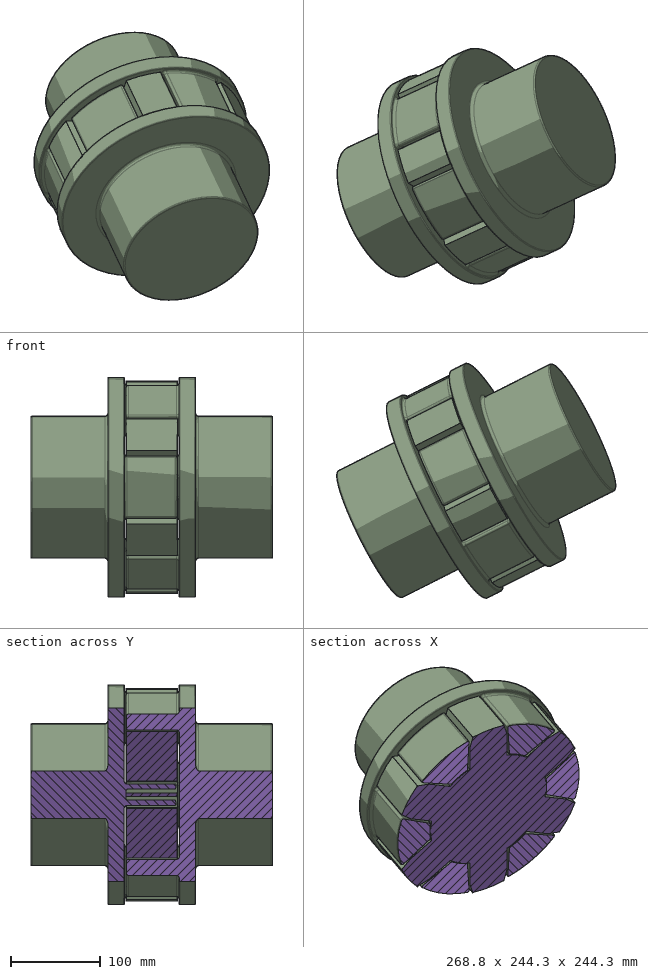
import cadquery as cq
import math


total_length = 268.75
flange_radius = 122.15
neck_radius = 79.0
flange_outer_x = 48.7
flange_inner_x = 30.5

end_edge_radius = 1.5
neck_fillet = 3.5
flange_edge_radius = 1.0

jaw_count = 6
jaw_pitch = 360 / jaw_count
jaws_per_hub = jaw_count // 2
jaw_outer_radius = 116.6
jaw_inner_radius = 74.5
jaw_reach_x = 28.5
jaw_rounding = 2.5
jaw_root_fillet = 3.0
slot_outer_half_width = 24.3
slot_inner_half_width = 26.5

spider_half_length = jaw_reach_x
leg_radius = 118.5
leg_tip_half_width = 20.1
leg_taper_angle = 15
fit_clearance = 0.2
core_radius = jaw_inner_radius - fit_clearance
leg_half_width = slot_outer_half_width - fit_clearance

zone_margin = 0.5


def disc(radius, start_x, end_x):
    """Solid cylinder about X between two X positions."""
    return cq.Workplane("YZ", origin=(start_x, 0, 0)).circle(radius).extrude(end_x - start_x)


def ring_zone(x, radius):
    """Selector for edges lying wholly near a plane across X and within a radius of the axis."""
    return cq.selectors.BoxSelector(
        (x - zone_margin, -radius - zone_margin, -radius - zone_margin),
        (x + zone_margin, radius + zone_margin, radius + zone_margin),
        boundingbox=True,
    )


def make_hub_body():
    """Left hub without jaws: a solid neck with a rounded end, filleted into the flange."""
    neck = disc(neck_radius, -total_length / 2, -flange_outer_x)
    neck = neck.faces("<X").edges().fillet(end_edge_radius)
    flange = disc(flange_radius, -flange_outer_x, -flange_inner_x)
    flange = flange.edges().fillet(flange_edge_radius)
    body = neck.union(flange)
    return body.edges(ring_zone(-flange_outer_x, neck_radius)).fillet(neck_fillet)


def jaw_corner(radius, slot_half_width):
    """Distances along and across the jaw axis to the jaw corner at a radius and slot half width."""
    angle = math.radians(jaw_pitch / 2) - math.asin(slot_half_width / radius)
    return radius * math.cos(angle), radius * math.sin(angle)


def make_jaw():
    """Jaw on the -Y axis, narrowing inward and rounded on all edges but those at the flange."""
    outer_y, outer_z = jaw_corner(jaw_outer_radius, slot_outer_half_width)
    inner_y, inner_z = jaw_corner(jaw_inner_radius, slot_inner_half_width)
    jaw = (
        cq.Workplane("YZ", origin=(-flange_inner_x, 0, 0))
        .moveTo(-inner_y, -inner_z)
        .lineTo(-outer_y, -outer_z)
        .threePointArc((-jaw_outer_radius, 0), (-outer_y, outer_z))
        .lineTo(-inner_y, inner_z)
        .threePointArc((-jaw_inner_radius, 0), (-inner_y, -inner_z))
        .close()
        .extrude(flange_inner_x + jaw_reach_x)
    )
    return jaw.edges("|X").fillet(jaw_rounding).faces(">X").edges().fillet(jaw_rounding)


def make_hub():
    """Left hub: body, three jaws and the fillet round each jaw root."""
    hub = make_hub_body()
    jaw = make_jaw()
    for i in range(jaws_per_hub):
        hub = hub.union(jaw.rotate((0, 0, 0), (1, 0, 0), i * 2 * jaw_pitch))
    return hub.edges(ring_zone(-flange_inner_x, jaw_outer_radius)).fillet(jaw_root_fillet)


def make_spider():
    """Solid core with six legs; each leg narrows toward its rounded tip."""
    tip_edge_height = math.sqrt(leg_radius**2 - leg_tip_half_width**2)
    taper_length = (leg_half_width - leg_tip_half_width) / math.tan(math.radians(leg_taper_angle))
    taper_start_height = tip_edge_height - taper_length
    leg = (
        cq.Workplane("YZ", origin=(-spider_half_length, 0, 0))
        .moveTo(-leg_half_width, 0)
        .lineTo(-leg_half_width, taper_start_height)
        .lineTo(-leg_tip_half_width, tip_edge_height)
        .threePointArc((0, leg_radius), (leg_tip_half_width, tip_edge_height))
        .lineTo(leg_half_width, taper_start_height)
        .lineTo(leg_half_width, 0)
        .close()
        .extrude(2 * spider_half_length)
    )
    spider = disc(core_radius, -spider_half_length, spider_half_length)
    for i in range(jaw_count):
        spider = spider.union(leg.rotate((0, 0, 0), (1, 0, 0), i * jaw_pitch))
    return spider


left_hub = make_hub()
right_hub = make_hub().rotate((0, 0, 0), (0, 0, 1), 180)
spider = make_spider()

result = cq.Compound.makeCompound([left_hub.val(), right_hub.val(), spider.val()])